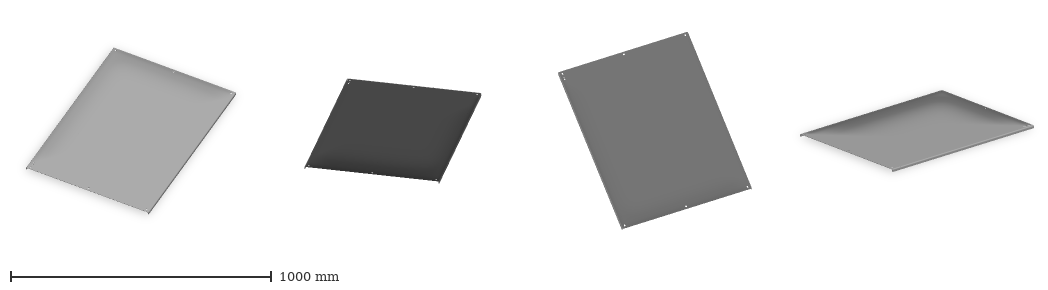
import cadquery as cq

width = 529.0
length = 729
height = 12.0

thickness = 1.5
bend_radius = 4.5
inner_bend_radius = bend_radius - thickness
flange_corner_radius = 3.0

fixing_x = 250.0
fixing_y = 353.0
slot_length = 8.0
slot_width = 6.0
middle_hole_y = 353.5
middle_hole_diameter = 7.0

earth_hole_diameter = 6.0
earth_hole_y = -327.0
stepped_hole_x = -249.0
stepped_hole_y = -337.0
stepped_hole_diameter = 4.0
step_diameter = 8.0
step_depth = thickness / 2


def rounded_bar(bar_width, bar_height, radius):
    """Full-length bar standing on Z = 0, with its two upper long edges rounded."""
    return (
        cq.Workplane("XY")
        .box(bar_width, length, bar_height, centered=(True, True, False))
        .edges("|Y and >Z")
        .fillet(radius)
    )


def folded_sheet():
    """Flat panel with a flange folded down along each long side."""
    outside = rounded_bar(width, height, bend_radius)
    inside = rounded_bar(width - 2 * thickness, height - thickness, inner_bend_radius)
    sheet = outside.cut(inside)
    return sheet.edges("|X and <Z").fillet(flange_corner_radius)


def corner_slots():
    """Four slot cutters through the panel, long along Y, one near each corner."""
    return (
        cq.Workplane("XY")
        .rect(2 * fixing_x, 2 * fixing_y, forConstruction=True)
        .vertices()
        .slot2D(slot_length, slot_width, 90)
        .extrude(height)
    )


def round_hole(x, y, diameter, bottom=0):
    """Round cutter from the given height up to the top face."""
    return (
        cq.Workplane("XY", origin=(x, y, bottom))
        .circle(diameter / 2)
        .extrude(height - bottom)
    )


panel = folded_sheet()
panel = panel.cut(corner_slots())
for y in (-middle_hole_y, middle_hole_y):
    panel = panel.cut(round_hole(0, y, middle_hole_diameter))
panel = panel.cut(round_hole(-fixing_x, earth_hole_y, earth_hole_diameter))
panel = panel.cut(round_hole(stepped_hole_x, stepped_hole_y, stepped_hole_diameter))
panel = panel.cut(round_hole(stepped_hole_x, stepped_hole_y, step_diameter, height - step_depth))
result = panel